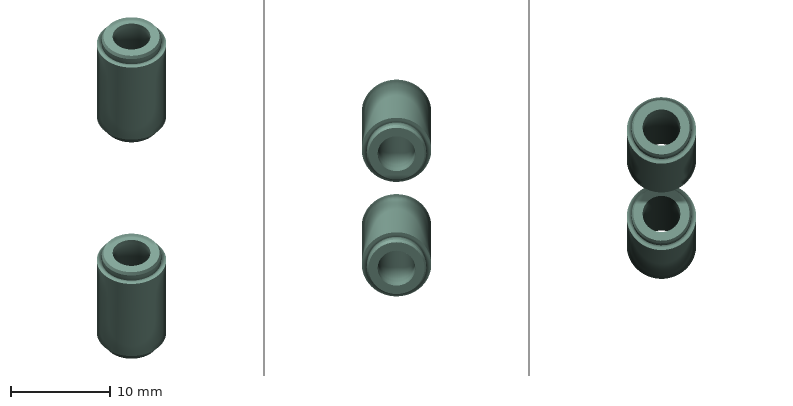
import cadquery as cq
import math

sleeve_length = 12.0
barrel_diameter = 7.0
spigot_diameter = 6.0
bore_diameter = 3.8
spigot_length = 1.0
barrel_length = sleeve_length - 2 * spigot_length

chamfer_height = 0.3
chamfer_angle = 30.0
chamfer_depth = chamfer_height * math.tan(math.radians(chamfer_angle))

sleeve_count = 2
sleeve_pitch = 30.0
lowest_center_z = -sleeve_pitch * (sleeve_count - 1) / 2


def make_sleeve(center_z):
    """Bored barrel with a smaller, chamfered spigot at each end, along Z."""
    bore_radius = bore_diameter / 2
    spigot_radius = spigot_diameter / 2
    barrel_radius = barrel_diameter / 2
    half_length = sleeve_length / 2
    shoulder_z = barrel_length / 2

    upper_profile = [
        (bore_radius, half_length),
        (spigot_radius - chamfer_depth, half_length),
        (spigot_radius, half_length - chamfer_height),
        (spigot_radius, shoulder_z),
        (barrel_radius, shoulder_z),
    ]
    lower_profile = [(radius, -z) for radius, z in reversed(upper_profile)]
    wall_section = cq.Workplane("XZ").polyline(upper_profile + lower_profile).close()

    sleeve = wall_section.revolve(360, (0, 0), (0, 1))
    return sleeve.translate((0, 0, center_z))


sleeves = [make_sleeve(lowest_center_z + index * sleeve_pitch) for index in range(sleeve_count)]

result = cq.Compound.makeCompound([sleeve.val() for sleeve in sleeves])